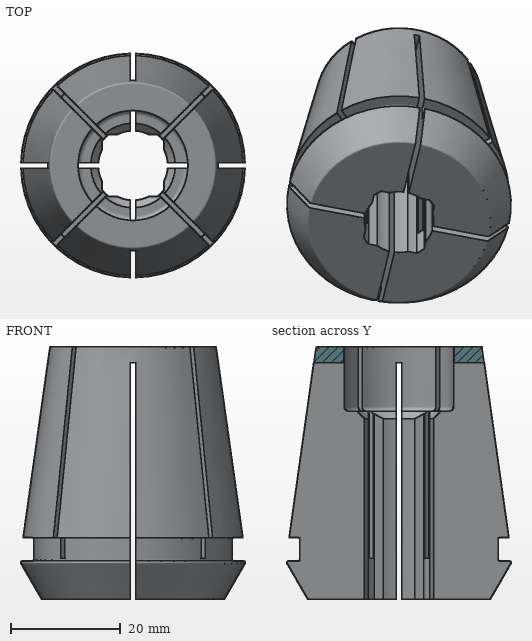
import cadquery as cq
import math

total_height = 46.0
body_bottom_z = 11.22
body_bottom_radius = 20.0
body_taper = math.radians(8)
groove_radius = 18.1
flange_top_z = 7.0
flange_diameter = 40.8
flange_radius = flange_diameter / 2
nose_taper = math.radians(30)

outer_edge_fillet = 0.3
groove_fillet = 0.25
bore_rim_fillet = 0.25
bore_floor_fillet = 0.85

bore_radius = 10.0
bore_floor_z = 34.25
countersink_radius = 7.7
countersink_angle = math.radians(45)

square_width = 11.22
square_corner_radius = 7.18
round_hole_radius = 6.3

slot_width = 0.95
slot_length = 1.5 * flange_diameter
long_slot_top_z = 43.0
diagonal_slot_floor_z = 7.5
diagonal_angle = 45

body_top_radius = body_bottom_radius - (total_height - body_bottom_z) * math.tan(body_taper)

flange_corner_offset = outer_edge_fillet / math.tan(math.pi / 4 - nose_taper / 2)
flange_corner_radius = flange_radius - outer_edge_fillet + flange_corner_offset
nose_bottom_radius = flange_corner_radius - flange_top_z * math.tan(nose_taper)


def edges_at(shape, radius, z):
    """Circular edges centred on the axis with the given radius and height."""
    tolerance = 0.005
    return shape.edges("%CIRCLE").filter(
        lambda edge: abs(edge.radius() - radius) < tolerance and abs(edge.Center().z - z) < tolerance
    )


def outer_body():
    profile = (
        cq.Workplane("XZ")
        .moveTo(0, 0)
        .lineTo(nose_bottom_radius, 0)
        .lineTo(flange_corner_radius, flange_top_z)
        .lineTo(groove_radius, flange_top_z)
        .lineTo(groove_radius, body_bottom_z)
        .lineTo(body_bottom_radius, body_bottom_z)
        .lineTo(body_top_radius, total_height)
        .lineTo(0, total_height)
        .close()
    )
    body = profile.revolve(360, (0, 0, 0), (0, 1, 0))
    rounded_edges = (
        (nose_bottom_radius, 0, outer_edge_fillet),
        (flange_corner_radius, flange_top_z, outer_edge_fillet),
        (body_top_radius, total_height, outer_edge_fillet),
        (groove_radius, flange_top_z, groove_fillet),
        (groove_radius, body_bottom_z, groove_fillet),
    )
    for radius, z, fillet in rounded_edges:
        body = edges_at(body, radius, z).fillet(fillet)
    return body


def cut_bore(body):
    depth = total_height - bore_floor_z
    body = body.cut(cq.Workplane("XY", origin=(0, 0, bore_floor_z)).circle(bore_radius).extrude(depth))
    body = edges_at(body, bore_radius, bore_floor_z).fillet(bore_floor_fillet)
    return edges_at(body, bore_radius, total_height).fillet(bore_rim_fillet)


def countersink():
    tip_z = bore_floor_z - countersink_radius / math.tan(countersink_angle)
    return (
        cq.Workplane("XZ")
        .moveTo(0, tip_z)
        .lineTo(countersink_radius, bore_floor_z)
        .lineTo(0, bore_floor_z)
        .close()
        .revolve(360, (0, 0, 0), (0, 1, 0))
    )


def drive_hole():
    base = cq.Workplane("XY")
    square = base.rect(square_width, square_width).extrude(bore_floor_z)
    corner_limit = base.circle(square_corner_radius).extrude(bore_floor_z)
    relief = base.circle(round_hole_radius).extrude(bore_floor_z)
    return square.intersect(corner_limit).union(relief)


def cross_slots(bottom_z, top_z, angle):
    """Two slots crossing at right angles on the axis, right through the wall."""
    height = top_z - bottom_z
    start = cq.Workplane("XY", origin=(0, 0, bottom_z))
    slots = start.rect(slot_length, slot_width).extrude(height)
    slots = slots.union(start.rect(slot_width, slot_length).extrude(height))
    return slots.rotate((0, 0, 0), (0, 0, 1), angle)


collet = cut_bore(outer_body())
collet = collet.cut(countersink()).cut(drive_hole())
collet = collet.cut(cross_slots(0, long_slot_top_z, 0))
collet = collet.cut(cross_slots(diagonal_slot_floor_z, total_height, diagonal_angle))
result = collet